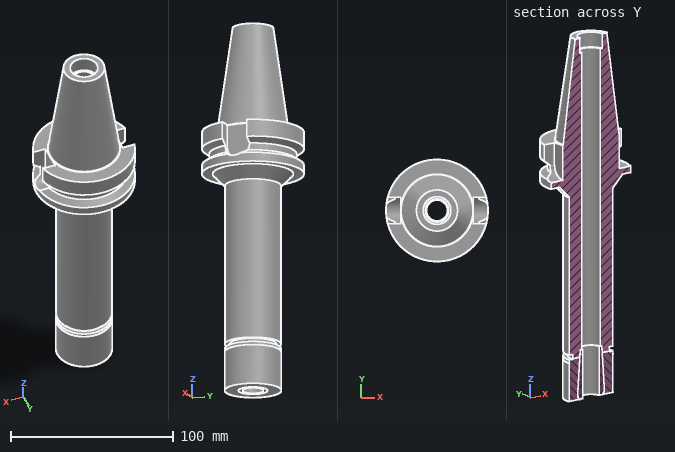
import cadquery as cq

total_height = 230.5
taper_length = 66.1
flange_top_z = total_height - taper_length
taper_small_radius = 12.7
taper_large_radius = 22.1
rim_radius = 22.3
rim_height = 0.5

flange_diameter = 63.0
flange_radius = flange_diameter / 2
groove_radius = 27.0
upper_ring_height = 10.5
groove_upper_flank = 3.2
groove_floor_width = 4.4
groove_lower_flank = 2.8
flange_height = 26.5
upper_ring_bottom_z = flange_top_z - upper_ring_height
groove_top_z = upper_ring_bottom_z - groove_upper_flank
groove_bottom_z = groove_top_z - groove_floor_width
lower_ring_top_z = groove_bottom_z - groove_lower_flank
flange_bottom_z = flange_top_z - flange_height

slot_width = 16.1
slot_floor_x = 22.3
slot_depth = 22.1

shaft_radius = 17.3
cone_height = 7.5
cone_radius = shaft_radius + cone_height
cone_bottom_z = flange_bottom_z - cone_height
shaft_bottom_z = 29.5
neck_radius = 14.5

nut_radius = 17.5
nut_height = 26.7
nut_collar_radius = 17.3
nut_collar_height = 2.0

mouth_radius = 8.5
mouth_depth = 9.5
bore_radius = 7.1
collet_bore_radius = 6.5

collet_radius = 10.4
collet_top_radius = 8.3
collet_length = 31.3
collet_nose_radius = 9.0
collet_nose_height = 2.5


def revolved(profile):
    """Solid of revolution about Z from (radius, z) points."""
    return cq.Workplane("XZ").polyline(profile).close().revolve(360, (0, 0, 0), (0, 1, 0))


def make_collet_blank():
    return revolved([
        (0, 0),
        (collet_nose_radius, 0),
        (collet_radius, collet_nose_height),
        (collet_top_radius, collet_length),
        (0, collet_length),
    ])


def make_collet():
    bore = cq.Workplane("XY").circle(collet_bore_radius).extrude(collet_length)
    return make_collet_blank().cut(bore)


def make_nut():
    shoulder_z = nut_height - nut_collar_height
    body = revolved([
        (0, 0),
        (nut_radius, 0),
        (nut_radius, shoulder_z),
        (nut_collar_radius, shoulder_z),
        (nut_collar_radius, nut_height),
        (0, nut_height),
    ])
    return body.cut(make_collet_blank())


def make_drive_slot(side):
    """Round-bottomed cutter on the +X (side=1) or -X (side=-1) edge of the flange."""
    end_radius = slot_width / 2
    arc_center_z = flange_top_z - slot_depth + end_radius
    cutter_top_z = flange_top_z + rim_height
    return (
        cq.Workplane("YZ", origin=(side * slot_floor_x, 0, 0))
        .moveTo(-end_radius, cutter_top_z)
        .lineTo(-end_radius, arc_center_z)
        .threePointArc((0, arc_center_z - end_radius), (end_radius, arc_center_z))
        .lineTo(end_radius, cutter_top_z)
        .close()
        .extrude(side * flange_radius)
    )


def make_holder():
    holder = revolved([
        (0, nut_height),
        (neck_radius, nut_height),
        (neck_radius, shaft_bottom_z),
        (shaft_radius, shaft_bottom_z),
        (shaft_radius, cone_bottom_z),
        (cone_radius, flange_bottom_z),
        (flange_radius, flange_bottom_z),
        (flange_radius, lower_ring_top_z),
        (groove_radius, groove_bottom_z),
        (groove_radius, groove_top_z),
        (flange_radius, upper_ring_bottom_z),
        (flange_radius, flange_top_z),
        (rim_radius, flange_top_z),
        (rim_radius, flange_top_z + rim_height),
        (taper_large_radius, flange_top_z + rim_height),
        (taper_small_radius, total_height),
        (0, total_height),
    ])
    bore = revolved([
        (0, nut_height),
        (bore_radius, nut_height),
        (bore_radius, total_height - mouth_depth),
        (mouth_radius, total_height - mouth_depth),
        (mouth_radius, total_height),
        (0, total_height),
    ])
    holder = holder.cut(bore).cut(make_collet_blank())
    for side in (-1, 1):
        holder = holder.cut(make_drive_slot(side))
    return holder


holder = make_holder()
nut = make_nut()
collet = make_collet()

result = cq.Compound.makeCompound([holder.val(), nut.val(), collet.val()])